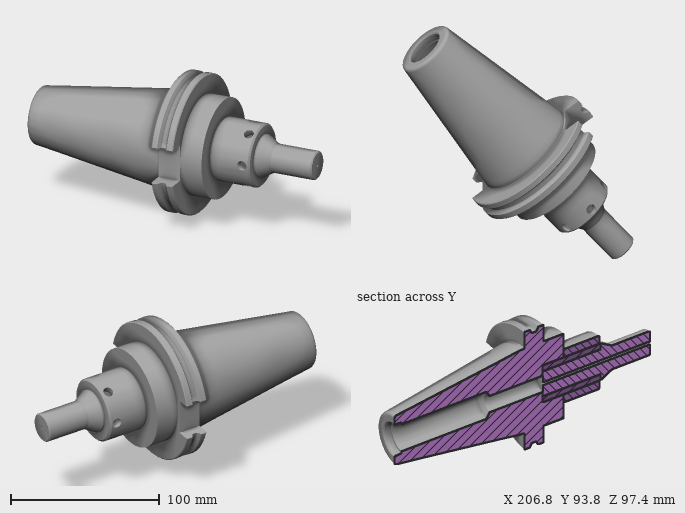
import cadquery as cq
import math

TOTAL_LENGTH = 206.8

TAPER_RATIO = 7 / 24
GAUGE_DIAMETER = 69.9
GAUGE_X = 101.7
TAPER_END_FILLET = 2.5
FLANGE_ROOT_CHAMFER = 0.6

FLANGE_DIAMETER = 97.4
FLANGE_START_X = 105.0
FLANGE_END_X = 121.0
FLANGE_CHAMFER = 0.6
GROOVE_CENTRE_X = 112.9
GROOVE_FLOOR_WIDTH = 3.3
GROOVE_DEPTH = 3.0
GROOVE_SIDE_ANGLE = 30.0
BODY_DIAMETER = 70.0
BODY_END_X = 136.9

SLOT_WIDTH = 25.6
SLOT_FLOOR_FRONT = 35.4
SLOT_FLOOR_BACK = 37.6
SLOT_CORNER_CHAMFER = 0.3
RIM_TOLERANCE = 0.02

MOUTH_DIAMETER = 25.5
MOUTH_CHAMFER = 0.8
MOUTH_DEPTH = 4.1
STEP_DIAMETER = 25.0
STEP_DEPTH = 5.8
BORE_DIAMETER = 22.0
BORE_DEPTH = 74.5
BORE_CONE_ANGLE = 59.0
BACK_HOLE_DIAMETER = 13.0

NUT_DIAMETER = 44.2
NUT_END_X = 166.2
NUT_CHAMFER = 1.2
NUT_REAR_CHAMFER_LENGTH = 1.2
NUT_REAR_CHAMFER_HEIGHT = 0.6
SPANNER_HOLE_DIAMETER = 6.8
SPANNER_HOLE_COUNT = 6
SPANNER_HOLE_X = 160.9
SPANNER_HOLE_DEPTH = 5.5

COLLET_DIAMETER = 30.0
COLLET_START_X = 120.0
COLLET_PROTRUSION = 0.6

SHANK_DIAMETER = 20.0
COLLAR_LENGTH = 0.6
COLLAR_CONE_ANGLE = 30.0
SHANK_END_CHAMFER = 0.8
CHANNEL_DIAMETER = 2.0

gauge_radius = GAUGE_DIAMETER / 2
small_end_radius = gauge_radius - GAUGE_X * TAPER_RATIO / 2
flange_radius = FLANGE_DIAMETER / 2
collet_end_x = NUT_END_X + COLLET_PROTRUSION
bore_cone_length = (BORE_DIAMETER - BACK_HOLE_DIAMETER) / 2 / math.tan(math.radians(BORE_CONE_ANGLE))
back_hole_start_x = BORE_DEPTH + bore_cone_length


def cylinder(diameter, start_x, end_x):
    """Solid cylinder along the X axis."""
    return cq.Workplane("YZ", origin=(start_x, 0, 0)).circle(diameter / 2).extrude(end_x - start_x)


def turned(outline):
    """Revolve a closed (x, radius) outline about the X axis."""
    return cq.Workplane("XY").polyline(outline).close().revolve(360, (0, 0, 0), (1, 0, 0))


def taper_and_body():
    """7:24 taper, flared where it meets the flange, and the plain body beyond it."""
    taper = turned([
        (0, 0),
        (0, small_end_radius),
        (GAUGE_X, gauge_radius),
        (FLANGE_START_X - FLANGE_ROOT_CHAMFER, gauge_radius),
        (FLANGE_START_X, gauge_radius + FLANGE_ROOT_CHAMFER),
        (FLANGE_START_X, 0),
    ])
    taper = taper.faces("<X").edges().fillet(TAPER_END_FILLET)
    body = cylinder(BODY_DIAMETER, FLANGE_START_X, BODY_END_X)
    return taper.union(body)


def grooved_flange():
    """Flange ring with a V-groove around its rim."""
    flange = cylinder(FLANGE_DIAMETER, FLANGE_START_X, FLANGE_END_X)
    flange = flange.faces("<X or >X").edges().chamfer(FLANGE_CHAMFER)
    floor_radius = flange_radius - GROOVE_DEPTH
    floor_half = GROOVE_FLOOR_WIDTH / 2
    mouth_half = floor_half + GROOVE_DEPTH * math.tan(math.radians(GROOVE_SIDE_ANGLE))
    groove = turned([
        (GROOVE_CENTRE_X - floor_half, floor_radius),
        (GROOVE_CENTRE_X + floor_half, floor_radius),
        (GROOVE_CENTRE_X + mouth_half, flange_radius),
        (GROOVE_CENTRE_X - mouth_half, flange_radius),
    ])
    return flange.cut(groove)


def drive_slot(side, floor):
    """Cutter for one drive slot; side is -1 for -Y and +1 for +Y."""
    centre_x = (FLANGE_START_X + FLANGE_END_X) / 2
    centre_y = side * (floor + flange_radius / 2)
    cutter = cq.Workplane("XY").box(FLANGE_END_X - FLANGE_START_X, flange_radius, SLOT_WIDTH)
    return cutter.translate((centre_x, centre_y, 0))


def stepped_bore():
    """Cutter for the bore, down to the end of its cone."""
    mouth_radius = MOUTH_DIAMETER / 2
    step_radius = STEP_DIAMETER / 2
    bore_radius = BORE_DIAMETER / 2
    return turned([
        (0, 0),
        (0, mouth_radius + MOUTH_CHAMFER),
        (MOUTH_CHAMFER, mouth_radius),
        (MOUTH_DEPTH, mouth_radius),
        (MOUTH_DEPTH, step_radius),
        (STEP_DEPTH, step_radius),
        (STEP_DEPTH, bore_radius),
        (BORE_DEPTH, bore_radius),
        (back_hole_start_x, BACK_HOLE_DIAMETER / 2),
        (back_hole_start_x, 0),
    ])


def is_on_land(edge):
    """True for an edge on the outer cylinder of the flange."""
    centre = edge.Center()
    return math.isclose(math.hypot(centre.y, centre.z), flange_radius, abs_tol=RIM_TOLERANCE)


def slotted_flange():
    """Grooved flange with two drive slots, chamfered where they cut the rim."""
    flange = grooved_flange()
    flange = flange.cut(drive_slot(-1, SLOT_FLOOR_FRONT))
    flange = flange.cut(drive_slot(1, SLOT_FLOOR_BACK))
    land_corners = flange.edges("|X").filter(is_on_land)
    return land_corners.chamfer(SLOT_CORNER_CHAMFER)


def make_holder():
    """Holder, hollow from the small end of the taper to the collet pocket."""
    holder = taper_and_body().union(slotted_flange())
    holder = holder.cut(stepped_bore())
    holder = holder.cut(cylinder(BACK_HOLE_DIAMETER, back_hole_start_x, COLLET_START_X))
    return holder.cut(cylinder(COLLET_DIAMETER, COLLET_START_X, BODY_END_X))


def make_nut():
    """Nut with blind spanner holes around its front end."""
    nut_radius = NUT_DIAMETER / 2
    nut = turned([
        (BODY_END_X, 0),
        (BODY_END_X, nut_radius - NUT_REAR_CHAMFER_HEIGHT),
        (BODY_END_X + NUT_REAR_CHAMFER_LENGTH, nut_radius),
        (NUT_END_X - NUT_CHAMFER, nut_radius),
        (NUT_END_X, nut_radius - NUT_CHAMFER),
        (NUT_END_X, 0),
    ])
    nut = nut.cut(cylinder(COLLET_DIAMETER, BODY_END_X, NUT_END_X))
    spanner_hole = (
        cq.Workplane("XZ", origin=(SPANNER_HOLE_X, -nut_radius, 0))
        .circle(SPANNER_HOLE_DIAMETER / 2)
        .extrude(-SPANNER_HOLE_DEPTH)
    )
    for index in range(SPANNER_HOLE_COUNT):
        angle = index * 360 / SPANNER_HOLE_COUNT
        nut = nut.cut(spanner_hole.rotate((0, 0, 0), (1, 0, 0), angle))
    return nut


def make_collet():
    """Plain sleeve around the tail of the shank."""
    sleeve = cylinder(COLLET_DIAMETER, COLLET_START_X, collet_end_x)
    return sleeve.cut(cylinder(SHANK_DIAMETER, COLLET_START_X, collet_end_x))


def make_shank():
    """Shank with a conical collar that rests on the collet, and a channel along its axis."""
    collar_radius = COLLET_DIAMETER / 2
    shank_radius = SHANK_DIAMETER / 2
    collar_end_x = collet_end_x + COLLAR_LENGTH
    cone_length = (collar_radius - shank_radius) / math.tan(math.radians(COLLAR_CONE_ANGLE))
    shank = turned([
        (COLLET_START_X, 0),
        (COLLET_START_X, shank_radius),
        (collet_end_x, shank_radius),
        (collet_end_x, collar_radius),
        (collar_end_x, collar_radius),
        (collar_end_x + cone_length, shank_radius),
        (TOTAL_LENGTH - SHANK_END_CHAMFER, shank_radius),
        (TOTAL_LENGTH, shank_radius - SHANK_END_CHAMFER),
        (TOTAL_LENGTH, 0),
    ])
    return shank.cut(cylinder(CHANNEL_DIAMETER, COLLET_START_X, TOTAL_LENGTH))


holder = make_holder()
nut = make_nut()
collet = make_collet()
shank = make_shank()

result = cq.Compound.makeCompound([holder.val(), nut.val(), collet.val(), shank.val()])